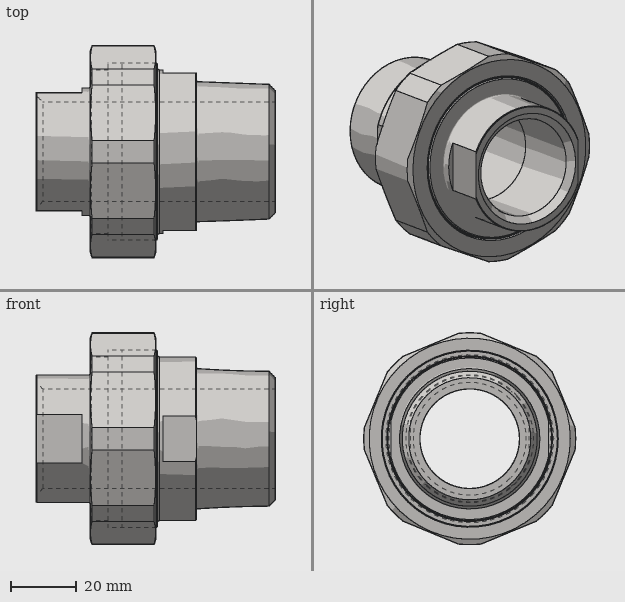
import cadquery as cq
import math

TOTAL_LENGTH = 73.0
BORE_RADIUS = 30.3 / 2

NUT_START = 16.5
NUT_END = 36.6
NUT_SIDES = 8
NUT_ACROSS_FLATS = 62.05
NUT_CORNER_RADIUS = 32.35
NUT_FACE_RADIUS = 30.65
NUT_CHAMFER_LENGTH = 0.6
LIP_END = 21.9
LIP_RADIUS = 50.5 / 2
LIP_CHAMFER = 0.4
THREAD_RADIUS = 54.0 / 2

TAIL_RADIUS = 39.0 / 2
TAIL_FLAT_OFFSET = 18.0
TAIL_FLAT_LENGTH = 13.95
TAIL_EDGE_CHAMFER = 0.2
TAIL_MOUTH_RADIUS = 34.45 / 2
COLLAR_RADIUS = 50.0 / 2
COLLAR_CHAMFER = 0.4
ROOT_FILLET = 0.4
JOINT_FACE = 26.3

THREAD_END = 37.0
THREAD_CHAMFER = 0.3
NECK_RADIUS = 50.5 / 2
NECK_END = 37.7
BODY_RADIUS = 50.0 / 2
BODY_END = 48.9
BODY_EDGE_CHAMFER = 0.4
BODY_FLAT_START = 38.75
BODY_FLAT_OFFSET = 24.0
TAPER_START = 49.65
TAPER_START_RADIUS = 21.4
TAPER_END = 71.0
TAPER_END_RADIUS = 20.6
TIP_RADIUS = 18.6
SPIGOT_FILLET = 0.4


def revolve_about_x(profile):
    """Turn a closed (x, radius) profile about the X axis."""
    return profile.close().revolve(360, (0, 0, 0), (1, 0, 0))


def cut_side_flats(solid, start, end, offset):
    """Mill two flats parallel to the XZ plane over a length of the solid."""
    depth = NUT_CORNER_RADIUS
    for side in (-1, 1):
        cutter = cq.Workplane("XY").box(end - start, depth, 2 * depth)
        solid = solid.cut(cutter.translate(((start + end) / 2, side * (offset + depth / 2), 0)))
    return solid


def make_nut():
    """Octagonal nut with chamfered corners, a front lip and a stepped bore."""
    corner_diameter = NUT_ACROSS_FLATS / math.cos(math.pi / NUT_SIDES)
    octagon = (
        cq.Workplane("YZ", origin=(NUT_START, 0, 0))
        .polygon(NUT_SIDES, corner_diameter)
        .extrude(NUT_END - NUT_START)
    )
    turned_ring = revolve_about_x(
        cq.Workplane("XY")
        .moveTo(NUT_START, LIP_RADIUS + LIP_CHAMFER)
        .lineTo(NUT_START, NUT_FACE_RADIUS)
        .lineTo(NUT_START + NUT_CHAMFER_LENGTH, NUT_CORNER_RADIUS)
        .lineTo(NUT_END - NUT_CHAMFER_LENGTH, NUT_CORNER_RADIUS)
        .lineTo(NUT_END, NUT_FACE_RADIUS)
        .lineTo(NUT_END, THREAD_RADIUS)
        .lineTo(LIP_END, THREAD_RADIUS)
        .lineTo(LIP_END, LIP_RADIUS)
        .lineTo(NUT_START + LIP_CHAMFER, LIP_RADIUS)
    )
    return octagon.intersect(turned_ring)


def make_tailpiece():
    """Plain tube with two flats and a collar held behind the nut lip."""
    mouth_chamfer = TAIL_MOUTH_RADIUS - BORE_RADIUS
    fillet_middle = ROOT_FILLET * (1 - math.sqrt(0.5))
    tube = revolve_about_x(
        cq.Workplane("XY")
        .moveTo(0, TAIL_MOUTH_RADIUS)
        .lineTo(0, TAIL_RADIUS - TAIL_EDGE_CHAMFER)
        .lineTo(TAIL_EDGE_CHAMFER, TAIL_RADIUS)
        .lineTo(NUT_START - ROOT_FILLET, TAIL_RADIUS)
        .threePointArc(
            (NUT_START - fillet_middle, TAIL_RADIUS + fillet_middle),
            (NUT_START, TAIL_RADIUS + ROOT_FILLET),
        )
        .lineTo(NUT_START, COLLAR_RADIUS - COLLAR_CHAMFER)
        .lineTo(NUT_START + COLLAR_CHAMFER, COLLAR_RADIUS)
        .lineTo(LIP_END, COLLAR_RADIUS)
        .lineTo(LIP_END, THREAD_RADIUS)
        .lineTo(JOINT_FACE, THREAD_RADIUS)
        .lineTo(JOINT_FACE, BORE_RADIUS)
        .lineTo(mouth_chamfer, BORE_RADIUS)
    )
    return cut_side_flats(tube, 0, TAIL_FLAT_LENGTH, TAIL_FLAT_OFFSET)


def make_male_end():
    """Body that fills the nut thread and ends in a tapered spigot, with two wrench flats."""
    fillet_middle = SPIGOT_FILLET * (1 - math.sqrt(0.5))
    body = revolve_about_x(
        cq.Workplane("XY")
        .moveTo(JOINT_FACE, BORE_RADIUS)
        .lineTo(JOINT_FACE, THREAD_RADIUS)
        .lineTo(THREAD_END - THREAD_CHAMFER, THREAD_RADIUS)
        .lineTo(THREAD_END, THREAD_RADIUS - THREAD_CHAMFER)
        .lineTo(THREAD_END, NECK_RADIUS)
        .lineTo(NECK_END, BODY_RADIUS)
        .lineTo(BODY_END - BODY_EDGE_CHAMFER, BODY_RADIUS)
        .lineTo(BODY_END, BODY_RADIUS - BODY_EDGE_CHAMFER)
        .lineTo(BODY_END, TAPER_START_RADIUS + SPIGOT_FILLET)
        .threePointArc(
            (BODY_END + fillet_middle, TAPER_START_RADIUS + fillet_middle),
            (BODY_END + SPIGOT_FILLET, TAPER_START_RADIUS),
        )
        .lineTo(TAPER_START, TAPER_START_RADIUS)
        .lineTo(TAPER_END, TAPER_END_RADIUS)
        .lineTo(TOTAL_LENGTH, TIP_RADIUS)
        .lineTo(TOTAL_LENGTH, BORE_RADIUS)
    )
    return cut_side_flats(body, BODY_FLAT_START, BODY_END, BODY_FLAT_OFFSET)


nut = make_nut()
tailpiece = make_tailpiece()
male_end = make_male_end()

result = cq.Compound.makeCompound([nut.val(), tailpiece.val(), male_end.val()])